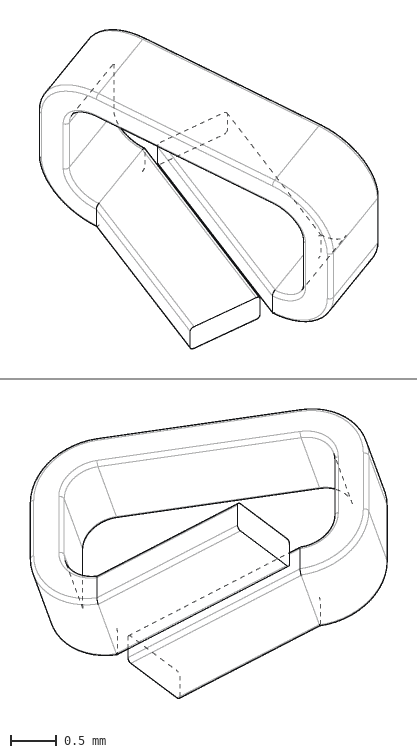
import cadquery as cq
import math

ring_length = 3.8
ring_depth = 1.0
ring_height = 2.3
wall = 0.38
outer_radius = 0.76
inner_radius = outer_radius - wall
edge_round = 0.05

overall_depth = 2.8
tab_length = 2.0

ring_face = ring_depth / 2
ring_end_x = ring_length / 2 - outer_radius
tab_reach = overall_depth / 2 - ring_face
tab_angle = math.asin(tab_reach / tab_length)
tab_width = ring_depth * math.cos(tab_angle)
tab_overrun = ring_depth

bottom_z = -ring_height / 2
wall_center_z = bottom_z + wall / 2


def upright_block(length, height, corner_radius):
    """Block centred on the origin, with its corners rounded along Y."""
    return cq.Workplane("XY").box(length, ring_depth, height).edges("|Y").fillet(corner_radius)


def make_open_ring():
    """Ring with rounded rims and the straight part of its bottom wall removed."""
    outer = upright_block(ring_length, ring_height, outer_radius)
    opening = upright_block(ring_length - 2 * wall, ring_height - 2 * wall, inner_radius)
    ring = outer.cut(opening).faces("<Y or >Y").edges().fillet(edge_round)
    bottom_wall = (
        cq.Workplane("XY")
        .box(2 * ring_end_x, ring_depth, wall)
        .translate((0, 0, wall_center_z))
    )
    return ring.cut(bottom_wall)


def make_front_tab():
    """Tab slanting forward from the left ring end, with rounded long edges."""
    tab = (
        cq.Workplane("XY")
        .box(tab_length + tab_overrun, tab_width, wall, centered=False)
        .edges("|X")
        .fillet(edge_round)
        .translate((-tab_overrun, 0, 0))
        .rotate((0, 0, 0), (0, 0, 1), -math.degrees(tab_angle))
        .translate((-ring_end_x, -ring_face, bottom_z))
    )
    beyond_ring_end = (
        cq.Workplane("XY")
        .box(ring_length, 2 * overall_depth, ring_height)
        .translate((-ring_end_x - ring_length / 2, 0, 0))
    )
    return tab.cut(beyond_ring_end)


front_tab = make_front_tab()
back_tab = front_tab.rotate((0, 0, 0), (0, 0, 1), 180)
result = make_open_ring().union(front_tab).union(back_tab)